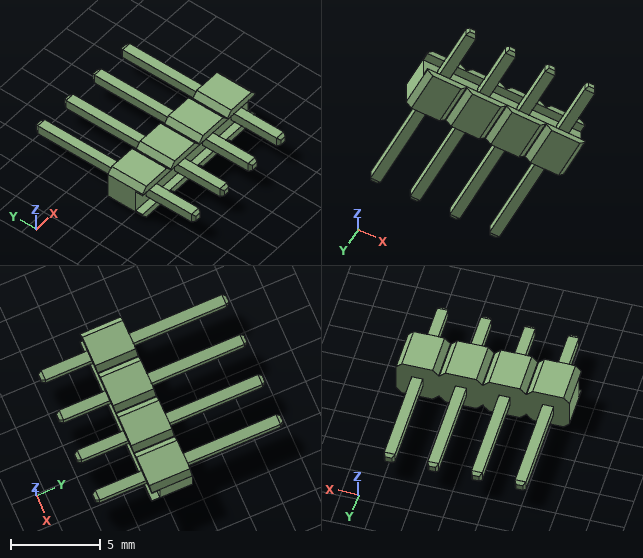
import cadquery as cq

pin_count = 4
pitch = 2.54
cell_width = 2.5
cell_height = cell_width
body_depth = cell_width
slope_width = 0.35
slope_drop = 0.37

channel_height = 1.52
channel_depth = 0.5

pin_width = 0.64
pin_length = 11.5
front_pin_reach = 3.0
tip_length = 0.22
tip_inset = 0.13

row_span = (pin_count - 1) * pitch
cell_centers = [i * pitch - row_span / 2 for i in range(pin_count)]
body_length = row_span + cell_width
body_front = front_pin_reach - pin_length / 2


def make_body():
    """Row of cells with sloped sides, which leave narrow-floored notches between the cells."""
    crest = cell_height / 2
    notch_floor = crest - slope_drop
    top_edge = []
    for x in cell_centers:
        left = x - cell_width / 2
        right = x + cell_width / 2
        top_edge += [
            (left, notch_floor),
            (left + slope_width, crest),
            (right - slope_width, crest),
            (right, notch_floor),
        ]
    bottom_edge = [(x, -z) for x, z in reversed(top_edge)]
    profile = cq.Workplane("XZ", origin=(0, body_front, 0)).polyline(top_edge + bottom_edge).close()
    body = profile.extrude(-body_depth)
    channel = cq.Workplane("XY").box(body_length, channel_depth, channel_height)
    return body.cut(channel.translate((0, body_front + channel_depth / 2, 0)))


def make_tapered_bar(plane):
    """Bar along Y, tapered at both ends within the given plane and pin_width thick across it."""
    half_width = pin_width / 2
    half_tip = half_width - tip_inset
    end = pin_length / 2
    shoulder = end - tip_length
    right_edge = [(half_tip, -end), (half_width, -shoulder), (half_width, shoulder), (half_tip, end)]
    left_edge = [(-x, y) for x, y in reversed(right_edge)]
    outline = cq.Workplane(plane).polyline(right_edge + left_edge).close()
    return outline.extrude(half_width, both=True)


def make_pin():
    """Square pin centered on the origin, tapered on all four sides at each end."""
    side_bar = make_tapered_bar(cq.Plane((0, 0, 0), xDir=(0, 0, 1), normal=(-1, 0, 0)))
    return make_tapered_bar("XY").intersect(side_bar)


result = make_body()
pin = make_pin()
for x in cell_centers:
    result = result.union(pin.translate((x, 0, 0)))